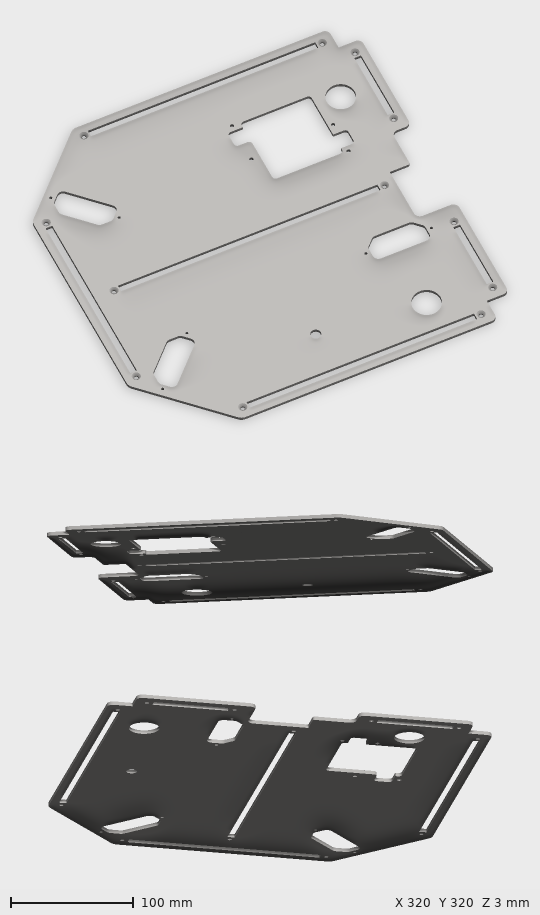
import cadquery as cq
import math

SIZE = 320.0
HALF = SIZE / 2
THICKNESS = 3.0
SHOULDER = 20.0
BOTTOM_CUT = 69.5
CORNER_RADIUS = 5.0
BOTTOM_CORNER_RADIUS = 8.0

LEFT_TAB_END_X = -45.0
STEP_Y = 142.5
STEP_END_X = -10.0
NOTCH_FLOOR_Y = 124.0
RIGHT_TAB_START_X = 41.0
LEFT_NOTCH_RADIUS = 5.0
STEP_RADIUS = 2.0
RIGHT_NOTCH_RADIUS = 5.5

EDGE_INSET = 10.0
SLOT_WIDTH = 6.0
SCREW_TO_SLOT = 5.0
SCREW_DIAMETER = 3.5
SCREW_HEAD_DIAMETER = 7.5
COUNTERSINK_ANGLE = 90.0
OUTER_SCREW = 130.0
INNER_TAB_SCREW_X = 57.0
LOWER_SCREW = 85.0
CENTRE_BOTTOM_SCREW_Y = 129.5
CENTRE_TOP_SCREW_Y = 114.5

SLOT_LINE = HALF - EDGE_INSET
SLOTS = [
    ((-OUTER_SCREW, SLOT_LINE), (-INNER_TAB_SCREW_X, SLOT_LINE)),
    ((INNER_TAB_SCREW_X, SLOT_LINE), (OUTER_SCREW, SLOT_LINE)),
    ((-SLOT_LINE, -LOWER_SCREW), (-SLOT_LINE, OUTER_SCREW)),
    ((SLOT_LINE, -LOWER_SCREW), (SLOT_LINE, OUTER_SCREW)),
    ((-LOWER_SCREW, -SLOT_LINE), (LOWER_SCREW, -SLOT_LINE)),
    ((0, -CENTRE_BOTTOM_SCREW_Y), (0, CENTRE_TOP_SCREW_Y)),
]

LARGE_HOLE_DIAMETER = 25.0
LARGE_HOLES = [(-95.0, 120.4), (120.4, 95.0)]
SMALL_HOLE_DIAMETER = 9.0
SMALL_HOLE = (110.0, 0.0)

WINDOW_CENTRE = (-75.3, 67.0)
WINDOW_SIZE = 63.0
WINDOW_RADIUS = 3.0
TONGUE_WIDTH = 15.0
TOP_TONGUE_X = -56.0
TOP_TONGUE_END_Y = 111.0
BOTTOM_TONGUE_X = -94.3
BOTTOM_TONGUE_END_Y = 21.5
WINDOW_SCREW_DIAMETER = 3.5
WINDOW_SCREWS = [(-72.4, 102.7), (-43.2, 102.7), (-106.8, 27.9), (-70.0, 27.9)]

OCTAGON_LENGTH = 51.0
OCTAGON_SCREW_SPACING = 59.0
OCTAGON_SCREW_DIAMETER = 2.5
OCTAGON_ROUNDED_SIDE = 9.7
OCTAGON_BEVELLED_SIDE = 12.6
OCTAGON_BEVEL = 8.2
OCTAGON_CORNER_RADIUS = 5.0
OCTAGON_PLACES = [(55.0, 101.0, 0.0), (-84.8, -115.2, 135.0), (84.8, -115.2, 45.0)]


def plate():
    shoulder = HALF - SHOULDER
    cut = HALF - BOTTOM_CUT
    outline = [
        (-shoulder, HALF),
        (LEFT_TAB_END_X, HALF),
        (LEFT_TAB_END_X, STEP_Y),
        (STEP_END_X, STEP_Y),
        (STEP_END_X, NOTCH_FLOOR_Y),
        (RIGHT_TAB_START_X, NOTCH_FLOOR_Y),
        (RIGHT_TAB_START_X, HALF),
        (shoulder, HALF),
        (shoulder, shoulder),
        (HALF, shoulder),
        (HALF, -cut),
        (cut, -HALF),
        (-cut, -HALF),
        (-HALF, -cut),
        (-HALF, shoulder),
        (-shoulder, shoulder),
    ]
    rounded = [
        (CORNER_RADIUS, [(-shoulder, HALF), (shoulder, HALF), (LEFT_TAB_END_X, HALF)]),
        (CORNER_RADIUS, [(-HALF, shoulder), (HALF, shoulder)]),
        (RIGHT_NOTCH_RADIUS, [(RIGHT_TAB_START_X, HALF), (RIGHT_TAB_START_X, NOTCH_FLOOR_Y)]),
        (LEFT_NOTCH_RADIUS, [(LEFT_TAB_END_X, STEP_Y)]),
        (STEP_RADIUS, [(STEP_END_X, STEP_Y)]),
        (BOTTOM_CORNER_RADIUS, [(HALF, -cut), (cut, -HALF), (-cut, -HALF), (-HALF, -cut)]),
    ]
    body = cq.Workplane("XY").polyline(outline).close().extrude(THICKNESS)
    for radius, corners in rounded:
        for corner in corners:
            body = body.edges(upright_edge_at(corner)).fillet(radius)
    return body


def upright_edge_at(corner):
    return cq.selectors.NearestToPointSelector((corner[0], corner[1], THICKNESS / 2))


def through_holes(points, diameter):
    return cq.Workplane("XY").pushPoints(points).circle(diameter / 2).extrude(THICKNESS)


def block(x_min, x_max, y_min, y_max):
    return (
        cq.Workplane("XY")
        .center((x_min + x_max) / 2, (y_min + y_max) / 2)
        .rect(x_max - x_min, y_max - y_min)
        .extrude(THICKNESS)
    )


def straight_slot(first_screw, last_screw):
    x1, y1 = first_screw
    x2, y2 = last_screw
    length = math.hypot(x2 - x1, y2 - y1) - 2 * SCREW_TO_SLOT
    return (
        cq.Workplane("XY")
        .center((x1 + x2) / 2, (y1 + y2) / 2)
        .transformed(rotate=(0, 0, math.degrees(math.atan2(y2 - y1, x2 - x1))))
        .rect(length, SLOT_WIDTH)
        .extrude(THICKNESS)
    )


def window():
    x, y = WINDOW_CENTRE
    half_tongue = TONGUE_WIDTH / 2
    half_window = WINDOW_SIZE / 2
    square = block(x - half_window, x + half_window, y - half_window, y + half_window)
    top = block(TOP_TONGUE_X - half_tongue, TOP_TONGUE_X + half_tongue, y, TOP_TONGUE_END_Y)
    bottom = block(BOTTOM_TONGUE_X - half_tongue, BOTTOM_TONGUE_X + half_tongue, BOTTOM_TONGUE_END_Y, y)
    opening = square.edges("|Z").fillet(WINDOW_RADIUS)
    opening = opening.union(top.edges("|Z and >Y").fillet(WINDOW_RADIUS))
    opening = opening.union(bottom.edges("|Z and <Y").fillet(WINDOW_RADIUS))
    neck = (BOTTOM_TONGUE_X + half_tongue, y - half_window)
    opening = opening.edges(upright_edge_at(neck)).fillet(WINDOW_RADIUS)
    return opening.union(through_holes(WINDOW_SCREWS, WINDOW_SCREW_DIAMETER))


def octagonal_opening(x, y, turn):
    half_length = OCTAGON_LENGTH / 2
    half_spacing = OCTAGON_SCREW_SPACING / 2
    opening = block(-OCTAGON_BEVELLED_SIDE, OCTAGON_ROUNDED_SIDE, -half_length, half_length)
    opening = opening.edges("|Z and <X").chamfer(OCTAGON_BEVEL)
    opening = opening.edges("|Z and (not >X)").fillet(OCTAGON_CORNER_RADIUS)
    opening = opening.edges("|Z and >X").fillet(OCTAGON_CORNER_RADIUS)
    screws = through_holes([(0, half_spacing), (0, -half_spacing)], OCTAGON_SCREW_DIAMETER)
    opening = opening.union(screws)
    return opening.rotate((0, 0, 0), (0, 0, 1), turn).translate((x, y, 0))


def screw_holes(body, points):
    return (
        body.faces(">Z")
        .workplane(origin=(0, 0, THICKNESS))
        .pushPoints(points)
        .cskHole(SCREW_DIAMETER, SCREW_HEAD_DIAMETER, COUNTERSINK_ANGLE)
    )


result = plate()
for first, last in SLOTS:
    result = result.cut(straight_slot(first, last))
    result = screw_holes(result, [first, last])
result = result.cut(through_holes(LARGE_HOLES, LARGE_HOLE_DIAMETER))
result = result.cut(through_holes([SMALL_HOLE], SMALL_HOLE_DIAMETER))
result = result.cut(window())
for place in OCTAGON_PLACES:
    result = result.cut(octagonal_opening(*place))